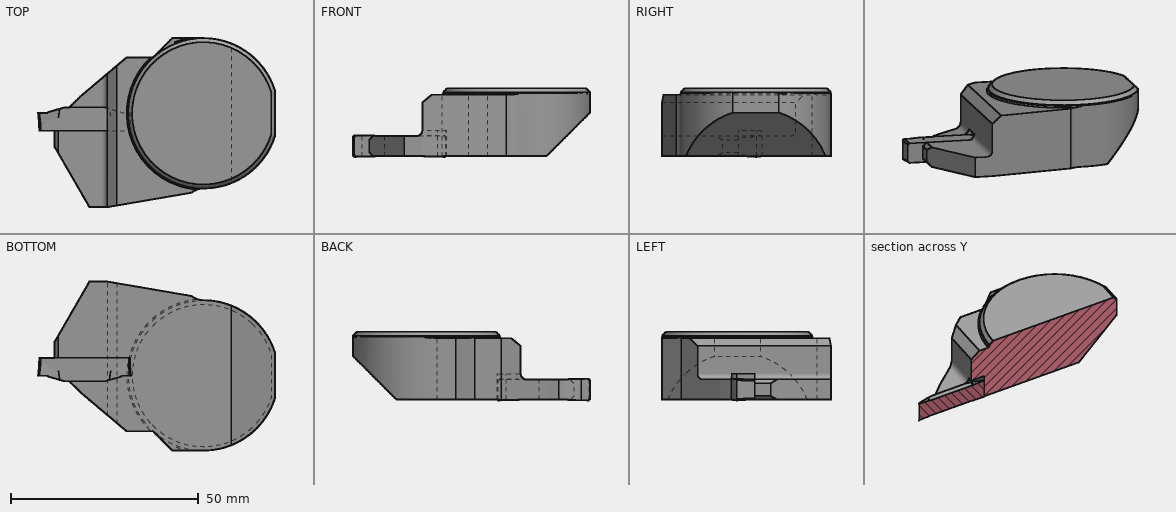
import cadquery as cq
import math

head_radius = 20.05
flat_x = 19.1
body_top = 16.35
disc_radius = 20.0
disc_top = 18.1
disc_chamfer = 1.05
foot_fillet = 0.4

shoulder_x = -25.55
arm_top = 5.37
arm_tip_x = -39.6
arm_tip_chamfer = 1.0
arm_root_fillet = 1.6
wall_chamfer_x = 2.5
wall_chamfer_z = 2.05
front_y = -25.0
under_slope_start = 7.5

shoulder_corner = (-8.2, head_radius)
back_step_inner = (-13.35, 14.9)
back_step_outer = (-20.4, 14.9)
back_bend = (-32.6, 4.6)
arm_back_x = -35.65
arm_tip_low_y = -8.9
arm_front_x = -30.3

relief_radius = 5.0
relief_x = -3.15

insert_tip_x = -44.0
insert_mid_x = -31.6
insert_bottom_y = -4.65
insert_top_y = 1.6
insert_mid_y = (insert_bottom_y + insert_top_y) / 2
edge_y = 0.1
edge_rise = 0.25
edge_chamfer = 0.4
clearance_y = -2.74
rake_line_start = (-43.3, -3.6)
rake_line_end = (-38.55, -1.05)
pocket_top = 6.92

beyond = 50.0
overshoot = 1.0


neck = [(insert_mid_x, insert_top_y), (-36.9, insert_top_y)]
rake_ramp = [(-38.2, 1.23), (-41.1, 0.4), (-41.6, edge_y)]
tip_face = [(insert_tip_x, edge_y), (-43.75, clearance_y), (-43.7, insert_bottom_y)]
head_outline = [*rake_ramp, tip_face[0]]
tip_half_outline = [*neck, *rake_ramp, *tip_face, (insert_mid_x, insert_bottom_y)]


def mirrored_x(shape):
    return shape.mirror("YZ", (insert_mid_x, 0, 0))


def insert_prism(z_from, z_to):
    half = (
        cq.Workplane("XY")
        .workplane(offset=z_from)
        .polyline(tip_half_outline)
        .close()
        .extrude(z_to - z_from)
    )
    return half.union(mirrored_x(half))


def cutting_facet():
    """Wedge on the +Z side of the head, sloping up from its inner line to the cutting corner."""
    line_start = cq.Vector(*rake_line_start, arm_top)
    line_end = cq.Vector(*rake_line_end, arm_top)
    corner = cq.Vector(insert_tip_x, edge_y, arm_top + edge_rise)
    normal = (line_end - line_start).cross(corner - line_start)
    slope = cq.Plane(line_start, line_end - line_start, normal)
    under_slope = cq.Workplane(slope).rect(beyond, beyond).extrude(-beyond)
    head = (
        cq.Workplane("XY")
        .workplane(offset=arm_top)
        .polyline([rake_line_start, rake_line_end, *head_outline])
        .close()
        .extrude(overshoot)
    )
    return head.intersect(under_slope)


def corner_bevel():
    """Tool that bevels the corner between the tip face and the +Z side, dropping along -Y."""
    corner_heights = [edge_rise, 0, 0]
    sections = []
    for (x, y), rise in zip(tip_face, corner_heights):
        top = arm_top + rise
        corners = [
            cq.Vector(x - overshoot, y, top - edge_chamfer - overshoot),
            cq.Vector(x - overshoot, y, top + overshoot),
            cq.Vector(x + edge_chamfer + overshoot, y, top + overshoot),
        ]
        sections.append(cq.Wire.makePolygon(corners, close=True))
    return cq.Workplane(cq.Solid.makeLoft(sections, True))


def build_insert():
    def mirrored_z(shape):
        return shape.mirror("XY", (0, 0, arm_top / 2))

    insert = insert_prism(0, arm_top)
    facet = cutting_facet()
    bevel = corner_bevel()
    for side_facet in (facet, mirrored_z(facet)):
        insert = insert.union(side_facet).union(mirrored_x(side_facet))
    for side_bevel in (bevel, mirrored_z(bevel)):
        insert = insert.cut(side_bevel).cut(mirrored_x(side_bevel))
    return insert


def holder_outline():
    flat_half = math.sqrt(head_radius**2 - flat_x**2)
    relief_centre_y = -head_radius - relief_radius
    relief_start = (relief_x, relief_centre_y + math.sqrt(relief_radius**2 - relief_x**2))
    relief_half_angle = math.asin(-relief_x / relief_radius) / 2
    relief_mid = (
        -relief_radius * math.sin(relief_half_angle),
        relief_centre_y + relief_radius * math.cos(relief_half_angle),
    )
    diagonal = head_radius * math.sqrt(0.5)
    return (
        cq.Workplane("XY")
        .moveTo(0, head_radius)
        .lineTo(*shoulder_corner)
        .lineTo(*back_step_inner)
        .lineTo(*back_step_outer)
        .lineTo(*back_bend)
        .lineTo(arm_back_x, insert_top_y)
        .lineTo(arm_back_x, insert_mid_y)
        .lineTo(arm_tip_x, insert_mid_y)
        .lineTo(arm_tip_x, arm_tip_low_y)
        .lineTo(arm_front_x, front_y)
        .lineTo(shoulder_x, front_y)
        .lineTo(*relief_start)
        .threePointArc(relief_mid, (0, -head_radius))
        .threePointArc((diagonal, -diagonal), (flat_x, -flat_half))
        .lineTo(flat_x, flat_half)
        .threePointArc((diagonal, diagonal), (0, head_radius))
        .close()
    )


def side_profile():
    """Silhouette in XZ: chamfered arm tip, step with fillet, wall chamfer, underside slope."""
    fillet_mid = arm_root_fillet * (1 - math.sqrt(0.5))
    return (
        cq.Workplane("XZ")
        .moveTo(arm_tip_x + arm_tip_chamfer, 0)
        .lineTo(arm_tip_x, arm_tip_chamfer)
        .lineTo(arm_tip_x, arm_top - arm_tip_chamfer)
        .lineTo(arm_tip_x + arm_tip_chamfer, arm_top)
        .lineTo(shoulder_x - arm_root_fillet, arm_top)
        .threePointArc(
            (shoulder_x - fillet_mid, arm_top + fillet_mid),
            (shoulder_x, arm_top + arm_root_fillet),
        )
        .lineTo(shoulder_x, body_top - wall_chamfer_z)
        .lineTo(shoulder_x + wall_chamfer_x, body_top)
        .lineTo(flat_x, body_top)
        .lineTo(flat_x, flat_x - under_slope_start)
        .lineTo(under_slope_start, 0)
        .close()
        .extrude(beyond, both=True)
    )


def top_disc():
    """Raised disc with a flat, a chamfered rim and a fillet at its foot."""
    disc = (
        cq.Workplane("XY")
        .workplane(offset=body_top)
        .circle(disc_radius)
        .extrude(disc_top - body_top)
    )
    disc = disc.faces(">Z").chamfer(disc_chamfer)
    beyond_flat = (
        cq.Workplane("XZ")
        .moveTo(flat_x, 0)
        .lineTo(flat_x, disc_top - disc_chamfer)
        .lineTo(flat_x - disc_chamfer, disc_top)
        .lineTo(flat_x - disc_chamfer, beyond)
        .lineTo(beyond, beyond)
        .lineTo(beyond, 0)
        .close()
        .extrude(beyond, both=True)
    )
    disc = disc.cut(beyond_flat)
    inset = foot_fillet * (1 - math.sqrt(0.5))
    foot = (
        cq.Workplane("XZ")
        .moveTo(disc_radius - overshoot, body_top)
        .lineTo(disc_radius + foot_fillet, body_top)
        .threePointArc(
            (disc_radius + inset, body_top + inset),
            (disc_radius, body_top + foot_fillet),
        )
        .lineTo(disc_radius - overshoot, body_top + foot_fillet)
        .close()
        .revolve(360, (0, 0, 0), (0, 1, 0))
    )
    return disc.union(foot.intersect(holder_outline().extrude(beyond)))


def build_holder():
    block = holder_outline().extrude(body_top).intersect(side_profile())
    return block.union(top_disc()).cut(insert_prism(-overshoot, pocket_top))


holder = build_holder().solids()
insert = build_insert().solids()

result = cq.Compound.makeCompound([holder.val(), insert.val()])